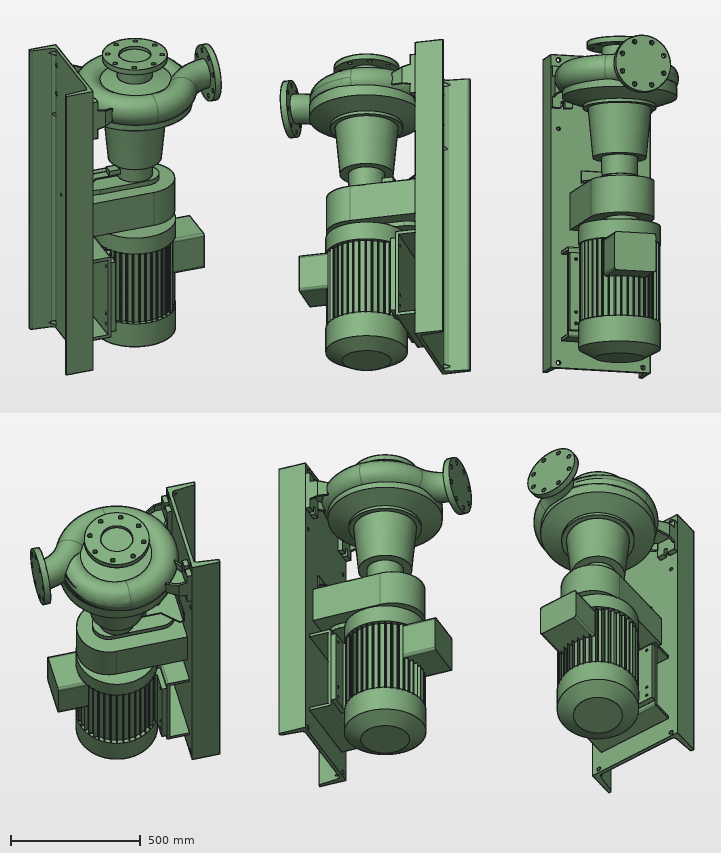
import cadquery as cq
import math


frame_width = 400.0
frame_length = 1230.0
frame_face_y = -250.0
frame_depth = 110.0
web_thickness = 14.0
flange_root = 24.0
flange_tip = 14.0
flange_root_fillet = 15.0
flange_tip_fillet = 6.0

anchor_hole_x = 170.0
anchor_hole_end = 20.0
anchor_hole_dia = 17.0
spare_hole_z = 940.0
spare_hole_dia = 14.0
small_bolt_dia = 10.0

motor_radius = 158.0
motor_bottom_z = 1.0
cowl_bottom_z = 36.0
cowl_nose_radius = 94.0
fins_bottom_z = 138.0
fins_top_z = 445.0
motor_top_z = 516.0
fin_tip_radius = 155.0
fin_root_radius = 141.0
fin_thickness = 2.0
fin_count = 40
motor_shaft_radius = 21.0

box_left_x = -71.0
box_right_x = 95.0
box_outer_y = 251.0
box_inner_y = 112.0
box_bottom_z = 295.0
box_top_z = 445.0
box_fillet = 10.0

foot_bottom_z = 129.0
foot_top_z = 433.0
foot_plate_thickness = 20.0
foot_ledge_x = 87.0
foot_slope_run = 12.0
foot_slope_rise = 20.0
foot_inner_x = 56.0
motor_bolt_x = 133.0
motor_bolt_levels = (155.0, 200.0, 408.0)

bracket_width = 2 * motor_radius
bracket_face_y = -159.0
bracket_bottom_z = 105.0
bracket_top_z = 459.0
bracket_thickness = 12.0
bracket_fillet = 6.0

guard_bottom_z = 544.0
guard_top_z = 689.0
guard_radius = 124.0
guard_round_y = 32.0
collar_radius = 63.0
collar_length = 199.0
collar_height = 20.0
guard_mid_z = (guard_bottom_z + guard_top_z) / 2
guard_bolt_x = 109.0

pump_top_z = 1241.0
volute_z = 1100.0
tube_radius = 57.7
volute_offset_x = 10.0
volute_radius = 182.0
discharge_radius = 176.0
discharge_angle = 63.0
spiral_end_angle = 60.0
spiral_end_radius = 165.0
spiral_end_tube = 42.0
spiral_steps = 4

casing_radius = 221.0
casing_bottom_z = 1025.0
casing_top_z = 1072.0
core_radius = 216.0
core_top_z = 1122.0
cover_radius = 164.0
cover_edge_z = 1130.0
cover_top_z = 1147.0
ring_radius = 140.0
ring_top_z = 994.0
ring_bottom_z = 982.0
lantern_top_radius = 122.0
lantern_bottom_radius = 103.0
lantern_bottom_z = 788.0
barrel_top_radius = 71.0
barrel_bottom_radius = 68.0
barrel_bottom_z = 714.0

inlet_pipe_radius = 68.0
inlet_flange_radius = 125.0
inlet_flange_thickness = 21.0
inlet_bolt_circle = 104.9
inlet_bore_radius = 62.0
inlet_bore_depth = 12.0
outlet_face_y = 315.0
outlet_flange_radius = 110.0
outlet_flange_thickness = 25.0
outlet_bolt_circle = 90.0
flange_bolt_count = 8
flange_bolt_dia = 17.0

pump_foot_height = 161.0
pump_foot_thickness = 20.0
pump_foot_inner_x = 120.0
pump_bolt_x = 158.0
pump_bolt_spacing = 125.0
pump_bolt_dia = 16.0
arm_wall = 7.0
arm_web = 10.0
arm_root_half_height = 41.0
arm_end_half_height = 14.0
arm_shoulder_y = -197.0
arm_end_x = 150.0
arm_end_y = -102.0
arm_inner_x = 62.0
arm_inner_y = -200.0

support_sheet = 5.0
support_half_width = 80.0
support_tongue_half_width = 20.0
support_bottom_z = 731.0
support_top_z = 778.0
support_end_y = -80.0
support_taper_y = -230.0
support_bolt_x = 55.0
support_bolt_z = 760.0
lug_outer_y = -112.0
lug_top_z = 756.0


def box_between(x0, x1, y0, y1, z0, z1):
    """Box from its low and high coordinate on each axis."""
    return cq.Workplane("XY").box(x1 - x0, y1 - y0, z1 - z0, centered=False).translate((x0, y0, z0))


def holes_along_y(points, diameter, y_low, y_high):
    """Round cutters parallel to Y at the given (x, z) points."""
    plane = cq.Workplane("XZ", origin=(0, y_high, 0))
    return plane.pushPoints(points).circle(diameter / 2).extrude(y_high - y_low)


def mirrored_points(x, levels):
    return [(side * x, z) for side in (-1, 1) for z in levels]


pump_bolt_levels = [volute_z + side * pump_bolt_spacing / 2 for side in (-1, 1)]


def make_channel():
    half = frame_width / 2
    tip_y = frame_face_y - frame_depth
    inner_y = frame_face_y - web_thickness
    channel = (
        cq.Workplane("XY")
        .polyline([
            (-half, frame_face_y), (half, frame_face_y), (half, tip_y), (half - flange_tip, tip_y),
            (half - flange_root, inner_y), (flange_root - half, inner_y),
            (flange_tip - half, tip_y), (-half, tip_y),
        ])
        .close()
        .extrude(frame_length)
    )
    root_x = half - flange_root
    tip_x = half - flange_tip
    for x, y, radius in ((root_x, inner_y, flange_root_fillet), (tip_x, tip_y, flange_tip_fillet)):
        for side in (-1, 1):
            edge = cq.selectors.NearestToPointSelector((side * x, y, frame_length / 2))
            channel = channel.edges(edge).fillet(radius)

    hole_sets = (
        (mirrored_points(anchor_hole_x, (anchor_hole_end, frame_length - anchor_hole_end)), anchor_hole_dia),
        (mirrored_points(anchor_hole_x, (spare_hole_z,)), spare_hole_dia),
        (mirrored_points(pump_bolt_x, pump_bolt_levels), pump_bolt_dia),
        (mirrored_points(support_bolt_x, (support_bolt_z,)), small_bolt_dia),
        (mirrored_points(guard_bolt_x, (guard_mid_z,)), small_bolt_dia),
    )
    for points, diameter in hole_sets:
        channel = channel.cut(holes_along_y(points, diameter, tip_y, frame_face_y))
    return channel


def make_bracket():
    """U-shaped bracket that carries the motor feet."""
    half = bracket_width / 2
    bracket = box_between(-half, half, frame_face_y, bracket_face_y, bracket_bottom_z, bracket_top_z)
    bracket = bracket.edges("|X and >Y").fillet(bracket_fillet)
    opening = box_between(
        -half, half, frame_face_y, bracket_face_y - bracket_thickness,
        bracket_bottom_z + bracket_thickness, bracket_top_z - bracket_thickness,
    )
    bolts = mirrored_points(motor_bolt_x, motor_bolt_levels)
    return bracket.cut(opening).cut(holes_along_y(bolts, small_bolt_dia, frame_face_y, bracket_face_y))


def make_base_frame():
    return make_channel().union(make_bracket())


def make_motor_foot(side):
    """Foot with a flat plate on the bracket and a sloped step up into the motor body."""
    plate_y = bracket_face_y + foot_plate_thickness
    return (
        cq.Workplane("XY")
        .workplane(offset=foot_bottom_z)
        .polyline([
            (side * motor_radius, bracket_face_y), (side * motor_radius, plate_y),
            (side * foot_ledge_x, plate_y),
            (side * (foot_ledge_x - foot_slope_run), plate_y + foot_slope_rise),
            (side * foot_inner_x, plate_y + foot_slope_rise), (side * foot_inner_x, bracket_face_y),
        ])
        .close()
        .extrude(foot_top_z - foot_bottom_z)
    )


def make_fins():
    """Thin straight fins, evenly spaced round the rim: parallel to X at the sides, to Y at top and bottom."""
    fins = []
    per_quarter = fin_count // 4
    for index in range(per_quarter):
        angle = math.radians((index + 0.5) * 360 / fin_count - 45)
        reach = fin_tip_radius * math.cos(angle)
        middle = fin_tip_radius * math.sin(angle)
        fin = box_between(
            0, reach, middle - fin_thickness / 2, middle + fin_thickness / 2, fins_bottom_z, fins_top_z
        )
        for quarter in range(4):
            fins.append(fin.rotate((0, 0, 0), (0, 0, 1), 90 * quarter))
    return fins


def make_motor():
    body = (
        cq.Workplane("XZ")
        .polyline([
            (0, motor_bottom_z), (cowl_nose_radius, motor_bottom_z), (motor_radius, cowl_bottom_z),
            (motor_radius, fins_bottom_z), (fin_root_radius, fins_bottom_z),
            (fin_root_radius, fins_top_z), (motor_radius, fins_top_z), (motor_radius, motor_top_z),
            (motor_shaft_radius, motor_top_z), (motor_shaft_radius, guard_bottom_z - collar_height),
            (0, guard_bottom_z - collar_height),
        ])
        .close()
        .revolve(360, (0, 0, 0), (0, 1, 0))
    )
    for fin in make_fins():
        body = body.union(fin)
    terminal_box = box_between(
        box_left_x, box_right_x, box_inner_y, box_outer_y, box_bottom_z, box_top_z
    )
    body = body.union(terminal_box.edges("|Y").fillet(box_fillet))
    for side in (-1, 1):
        body = body.union(make_motor_foot(side))
    bolts = mirrored_points(motor_bolt_x, motor_bolt_levels)
    plate_y = bracket_face_y + foot_plate_thickness
    return body.cut(holes_along_y(bolts, small_bolt_dia, bracket_face_y, plate_y))


def make_guard():
    height = guard_top_z - guard_bottom_z
    guard = cq.Workplane("XY", origin=(0, guard_round_y, guard_bottom_z)).circle(guard_radius).extrude(height)
    guard = guard.union(box_between(
        -guard_radius, guard_radius, frame_face_y, guard_round_y, guard_bottom_z, guard_top_z
    ))
    collars = (
        cq.Workplane("XY", origin=(0, guard_round_y - collar_length / 2, guard_bottom_z - collar_height))
        .slot2D(collar_length + 2 * collar_radius, 2 * collar_radius, 90)
        .extrude(height + 2 * collar_height)
    )
    return guard.union(collars)


def make_support_foot():
    taper = support_half_width - support_tongue_half_width
    right_edge = [
        (support_half_width, frame_face_y), (support_half_width, support_taper_y),
        (support_tongue_half_width, support_taper_y + taper), (support_tongue_half_width, support_end_y),
    ]
    left_edge = [(-x, y) for x, y in reversed(right_edge)]
    plate = (
        cq.Workplane("XY", origin=(0, 0, support_bottom_z))
        .polyline(right_edge + left_edge)
        .close()
        .extrude(support_sheet)
    )
    upright = box_between(
        -support_half_width, support_half_width, frame_face_y, frame_face_y + support_sheet,
        support_bottom_z, support_top_z,
    )
    return plate.union(upright)


def make_flange(plane, radius, thickness, bolt_circle):
    """Round flange whose bolt holes straddle the main axes."""
    flange = plane.circle(radius).extrude(-thickness)
    holes = (
        plane.polarArray(bolt_circle, 180 / flange_bolt_count, 360, flange_bolt_count)
        .circle(flange_bolt_dia / 2)
        .extrude(-thickness)
    )
    return flange.cut(holes)


def make_volute():
    """Half torus, rising discharge bend and a shrinking spiral that ends at the tongue."""
    half_torus = (
        cq.Workplane("XZ", origin=(volute_offset_x - volute_radius, 0, volute_z))
        .circle(tube_radius)
        .revolve(180, (volute_radius, 0, 0), (volute_radius, 1, 0))
    )

    start_x = volute_offset_x + volute_radius
    arc_x = start_x - discharge_radius
    angle = math.radians(discharge_angle)
    bend_radius = (arc_x + discharge_radius * math.cos(angle)) / (1 - math.cos(angle))

    def on_discharge(turn):
        return (arc_x + discharge_radius * math.cos(turn), discharge_radius * math.sin(turn))

    bend_y = (discharge_radius + bend_radius) * math.sin(angle)

    def on_bend(turn):
        return (bend_radius * (1 - math.cos(turn)), bend_y - bend_radius * math.sin(turn))

    path = (
        cq.Workplane("XY", origin=(0, 0, volute_z))
        .moveTo(start_x, 0)
        .threePointArc(on_discharge(angle / 2), on_discharge(angle))
        .threePointArc(on_bend(angle / 2), on_bend(0))
    )
    discharge = cq.Workplane("XZ", origin=(start_x, 0, volute_z)).circle(tube_radius).sweep(path)

    sections = []
    for step in range(spiral_steps + 1):
        share = step / spiral_steps
        turn = math.radians(180 + share * (spiral_end_angle - 180))
        radius = volute_radius + share * (spiral_end_radius - volute_radius)
        tube = tube_radius + share * (spiral_end_tube - tube_radius)
        center = cq.Vector(
            volute_offset_x * (1 - share) + radius * math.cos(turn), radius * math.sin(turn), volute_z
        )
        heading = cq.Vector(math.sin(turn), -math.cos(turn), 0)
        sections.append(cq.Wire.makeCircle(tube, center, heading))
    spiral = cq.Workplane(cq.Solid.makeLoft(sections))
    return half_torus.union(discharge).union(spiral)


def make_pump_foot():
    """Foot at -X: slotted plate and a tapering arm with an outer and an inner wall joined by a web."""
    half = frame_width / 2
    plate_y = frame_face_y + pump_foot_thickness
    bottom_z = volute_z - pump_foot_height / 2
    top_z = volute_z + pump_foot_height / 2
    plate = box_between(-half, -pump_foot_inner_x, frame_face_y, plate_y, bottom_z, top_z)
    for z, edge_z in zip(pump_bolt_levels, (bottom_z, top_z)):
        plate = plate.cut(holes_along_y([(-pump_bolt_x, z)], pump_bolt_dia, frame_face_y, plate_y))
        plate = plate.cut(box_between(
            -pump_bolt_x - pump_bolt_dia / 2, -pump_bolt_x + pump_bolt_dia / 2,
            frame_face_y, plate_y, min(z, edge_z), max(z, edge_z),
        ))

    arm_base_y = plate_y - arm_wall
    outline = (
        cq.Workplane("XY", origin=(0, 0, volute_z - arm_root_half_height))
        .polyline([
            (-half, arm_base_y), (-half, arm_shoulder_y), (-arm_end_x, arm_end_y),
            (-arm_inner_x, arm_inner_y), (-pump_foot_inner_x, arm_base_y),
        ])
        .close()
    )
    arm = outline.extrude(2 * arm_root_half_height)
    pocket = (
        arm.faces("<Z").wires().toPending().offset2D(-arm_wall)
        .extrude(2 * arm_root_half_height, combine=False)
    )
    web = box_between(
        -half, -arm_inner_x, plate_y, arm_end_y, volute_z - arm_web / 2, volute_z + arm_web / 2
    )
    taper = (
        cq.Workplane("YZ", origin=(-half, 0, 0))
        .polyline([
            (plate_y, volute_z - arm_root_half_height), (arm_end_y, volute_z - arm_end_half_height),
            (arm_end_y, volute_z + arm_end_half_height), (plate_y, volute_z + arm_root_half_height),
        ])
        .close()
        .extrude(half)
    )
    return plate.union(arm.intersect(taper).cut(pocket.cut(web)))


def make_pump():
    core = (
        cq.Workplane("XZ")
        .polyline([
            (0, barrel_bottom_z), (barrel_bottom_radius, barrel_bottom_z),
            (barrel_top_radius, lantern_bottom_z), (lantern_bottom_radius, lantern_bottom_z),
            (lantern_top_radius, ring_bottom_z), (ring_radius, ring_bottom_z), (ring_radius, ring_top_z),
            (casing_radius, casing_bottom_z), (casing_radius, casing_top_z),
            (core_radius, casing_top_z), (core_radius, core_top_z),
            (cover_radius, core_top_z), (cover_radius, cover_edge_z),
            (inlet_pipe_radius, cover_top_z), (inlet_pipe_radius, pump_top_z), (0, pump_top_z),
        ])
        .close()
        .revolve(360, (0, 0, 0), (0, 1, 0))
    )
    inlet_plane = cq.Workplane("XY", origin=(0, 0, pump_top_z))
    inlet = make_flange(inlet_plane, inlet_flange_radius, inlet_flange_thickness, inlet_bolt_circle)
    outlet_plane = cq.Workplane("ZX", origin=(0, outlet_face_y, volute_z))
    outlet = make_flange(outlet_plane, outlet_flange_radius, outlet_flange_thickness, outlet_bolt_circle)
    lug = box_between(
        -support_tongue_half_width, support_tongue_half_width, lug_outer_y, 0,
        support_bottom_z + support_sheet, lug_top_z,
    )
    foot = make_pump_foot()

    pump = core.union(make_volute()).union(inlet).union(outlet).union(lug)
    pump = pump.union(foot).union(foot.mirror("YZ"))
    return pump.cut(inlet_plane.circle(inlet_bore_radius).extrude(-inlet_bore_depth))


base_frame = make_base_frame()
motor = make_motor()
guard = make_guard()
support_foot = make_support_foot()
pump = make_pump()

result = cq.Compound.makeCompound([
    base_frame.solids().val(), motor.solids().val(), guard.solids().val(), support_foot.solids().val(), pump.solids().val(),
])